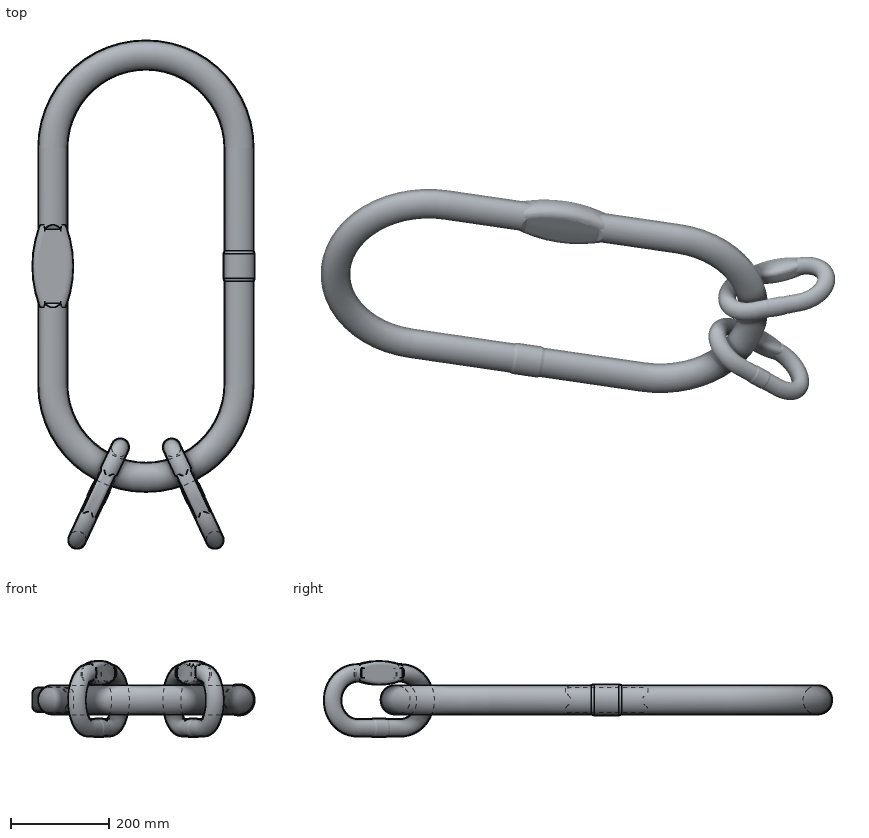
import cadquery as cq
import math

RING_WIRE_DIAMETER = 60.0
RING_BEND_RADIUS = 190.0
RING_STRAIGHT_LENGTH = 481.0
RING_FLAT_WIDTH = 84.0
RING_WELD_DIAMETER = 64.0
RING_WELD_LENGTH = 62.0

LINK_WIRE_DIAMETER = 36.0
LINK_BEND_RADIUS = 56.0
LINK_STRAIGHT_LENGTH = 96.0
LINK_FLAT_WIDTH = 49.0
LINK_WELD_DIAMETER = 38.0
LINK_WELD_LENGTH = 33.0
LINK_CENTER_X = 96.0
LINK_CENTER_Y = -463.0
LINK_CENTER_Z = -1.0
LINK_TILT = 25

FLAT_THICKNESS_RATIO = 0.84
FLAT_EDGE_RADIUS_RATIO = 0.22
FLAT_ARC_RADIUS_RATIO = 3.8
FLAT_LENGTH_RATIO = 2.5
FLAT_RUNOUT_RATIO = 0.15
WELD_BEVEL_RATIO = 0.1


def leg(x, diameter, length):
    """Round bar of the given length along Y, centred on (x, 0, 0)."""
    return cq.Workplane("XZ").center(x, 0).circle(diameter / 2).extrude(length / 2, both=True)


def bend(end, wire, radius, straight):
    """Half ring of wire at the +Y (end = 1) or -Y (end = -1) end of the legs."""
    half = cq.Workplane("XZ").center(radius, 0).circle(wire / 2).revolve(180, (-radius, 0), (-radius, end))
    return half.translate((0, end * straight / 2, 0))


def forged_flat(wire, flat_width):
    """Flat plate with rounded, bulging edges that replaces the middle of a leg."""
    half_width = flat_width / 2
    half_length = (FLAT_LENGTH_RATIO / 2 + FLAT_RUNOUT_RATIO) * wire
    arc_radius = FLAT_ARC_RADIUS_RATIO * wire
    end_half_width = half_width - arc_radius + math.sqrt(arc_radius**2 - half_length**2)
    return (
        cq.Workplane("XY")
        .moveTo(-end_half_width, -half_length)
        .threePointArc((-half_width, 0), (-end_half_width, half_length))
        .lineTo(end_half_width, half_length)
        .threePointArc((half_width, 0), (end_half_width, -half_length))
        .close()
        .extrude(FLAT_THICKNESS_RATIO * wire / 2, both=True)
        .edges("(not |Z) and (not |X)")
        .fillet(FLAT_EDGE_RADIUS_RATIO * wire)
    )


def flat_recess(side, wire):
    """Cutter with sloping ends that lowers the round wire to one flat face (side = 1 or -1)."""
    floor = FLAT_THICKNESS_RATIO * wire / 2
    floor_end = FLAT_LENGTH_RATIO * wire / 2
    top = wire / 2
    top_end = floor_end + FLAT_RUNOUT_RATIO * wire
    outline = [(-floor_end, floor), (floor_end, floor), (top_end, top), (-top_end, top)]
    return (
        cq.Workplane("YZ")
        .polyline([(y, side * z) for y, z in outline])
        .close()
        .extrude(wire / 2, both=True)
    )


def flattened_leg(x, wire, straight, flat_width):
    """Straight leg with the forged flat in its middle."""
    bar = leg(0, wire, straight)
    for side in (1, -1):
        bar = bar.cut(flat_recess(side, wire))
    return bar.union(forged_flat(wire, flat_width)).translate((x, 0, 0))


def welded_leg(x, wire, straight, weld_diameter, weld_length):
    """Straight leg with a slightly thicker, bevelled weld collar in its middle."""
    weld_end = weld_length / 2
    bevel_start = weld_end - WELD_BEVEL_RATIO * wire
    collar = (
        cq.Workplane("XY")
        .moveTo(0, -weld_end)
        .lineTo(wire / 2, -weld_end)
        .lineTo(weld_diameter / 2, -bevel_start)
        .lineTo(weld_diameter / 2, bevel_start)
        .lineTo(wire / 2, weld_end)
        .lineTo(0, weld_end)
        .close()
        .revolve(360, (0, 0), (0, 1))
    )
    return leg(x, wire, straight).union(collar.translate((x, 0, 0)))


def oval_link(wire, radius, straight, flat_width, weld_diameter, weld_length):
    """Complete oval link in the XY plane, long axis along Y, with its forged flat on the -X leg."""
    link = flattened_leg(-radius, wire, straight, flat_width)
    link = link.union(welded_leg(radius, wire, straight, weld_diameter, weld_length))
    for end in (1, -1):
        link = link.union(bend(end, wire, radius, straight))
    return link.solids()


def sub_link(side):
    """Small link on the -X (side = -1) or +X (side = 1) part of the bend, forged flat upwards."""
    link = oval_link(
        LINK_WIRE_DIAMETER,
        LINK_BEND_RADIUS,
        LINK_STRAIGHT_LENGTH,
        LINK_FLAT_WIDTH,
        LINK_WELD_DIAMETER,
        LINK_WELD_LENGTH,
    )
    upright = link.rotate((0, 0, 0), (0, 1, 0), 90)
    splayed = upright.rotate((0, 0, 0), (0, 0, 1), side * LINK_TILT)
    return splayed.translate((side * LINK_CENTER_X, LINK_CENTER_Y, LINK_CENTER_Z))


master_ring = oval_link(
    RING_WIRE_DIAMETER,
    RING_BEND_RADIUS,
    RING_STRAIGHT_LENGTH,
    RING_FLAT_WIDTH,
    RING_WELD_DIAMETER,
    RING_WELD_LENGTH,
)
sub_links = [sub_link(side) for side in (-1, 1)]

result = cq.Compound.makeCompound([master_ring.val(), *[link.val() for link in sub_links]])